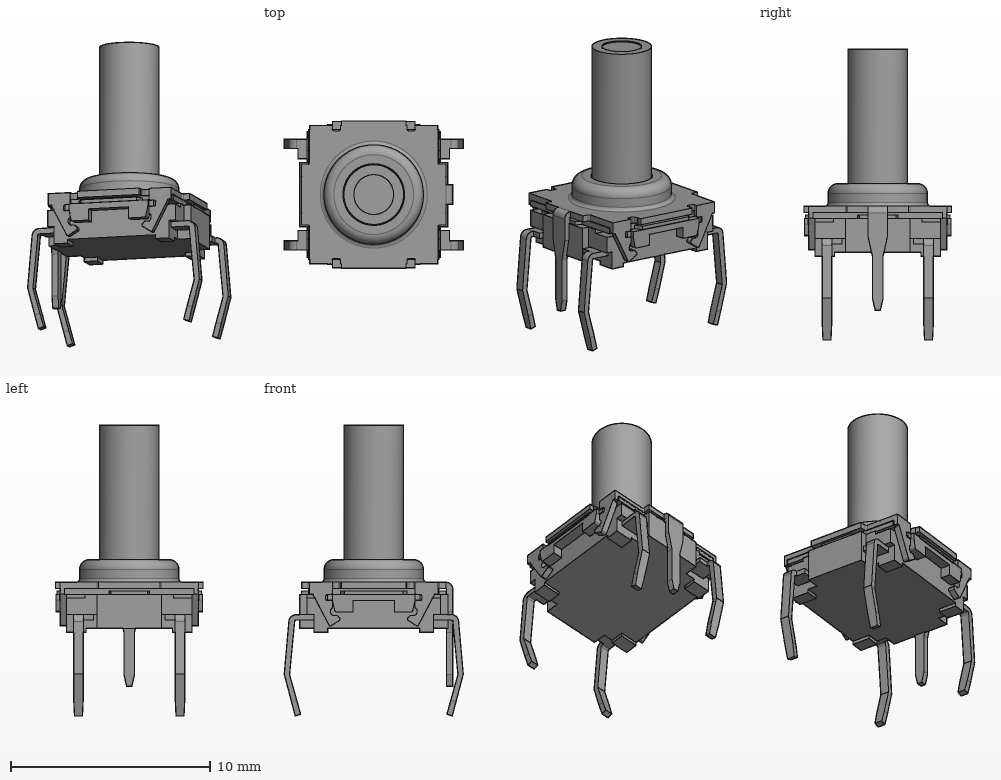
import cadquery as cq


OVERLAP = 0.15

overall_x = 9.0
overall_y = 7.4
overall_z = 14.6
lead_end = -4.2
plunger_top = lead_end + overall_z

body_bottom = 0.19
body_top = 1.9
ledge_z = 1.71
layer_tab_top = 2.07
cover_top = 2.51
sheet = 0.32
cover_bottom = cover_top - sheet
boss_top = 3.65

core_half_x = 3.01
body_half_y = 3.15
shoulder_half_x = 3.35
wing_half_x = 3.72
wing_half_y = 1.62
ledge_half_x = 2.63
ledge_half_y = 2.22
foot_size_x = 0.7
foot_size_y = 1.0
lug_half_y = 3.68
lug_bottom = 1.02
lug_half_top = 2.07
lug_half_bottom = 1.94
lug_straight_bottom = 1.6
lug_gap_half = 1.05
lug_gap_top = 1.59
lug_corner_radius = 0.09
ear_half_x = 2.32
ear_half_y = 3.5

layer_half_x = 3.27
layer_half_y = 3.25
layer_tab_reach = 3.64
side_tab_root, side_tab_tip = 1.01, 0.9
end_tab_root, end_tab_tip = 1.66, 1.46

cover_half_x = 3.21
cover_half_y = 3.47
cover_wing_half_x = 3.62
cover_wing_half_y = 1.53
tongue_half_x = 1.62
tongue_half_y = overall_y / 2
notch_outer_x = 2.07
notch_inner_x = 1.7
notch_floor_y = 3.2
relief_radius = 0.09

arm_shoulder_z = 1.93
arm_shoulder_x = 3.07
slot_outer_x = 2.41
slot_bottom = 1.59
slot_corner = 0.09
hook_heel = (2.25, 0.36)
hook_heel_middle = (2.2, 0.32)
hook_base = (2.13, 0.34)
hook_toe = (1.74, 0.58)
hook_toe_middle = (1.7, 0.67)
hook_nose = (1.72, 0.73)
hook_top_z = 0.85
hook_top_inner_x = 1.84
hook_top_outer_x = 2.05
hook_relief_middle = (2.18, 1.02)
hook_relief_top = 1.23

boss_diameter = 5.0
boss_edge_radius = 0.5
boss_root_radius = 0.19
boss_hole_diameter = 3.1
plunger_diameter = 3.0
dimple_diameter = 2.0
dimple_depth = 0.06

lead_top = 0.89
lead_thickness = 0.28
lead_bottom = lead_top - lead_thickness
pad_half_x = 3.81
pad_inner_y = 1.8
lead_width = 0.48
lead_outer_y = 2.79
lead_tip_width = 0.41
lead_taper_z = -3.46
lead_knee_half_x = overall_x / 2
lead_knee_z = -2.1
bend_half_x = 4.23
knee_drop = 0.03
lead_tip_half_x = 3.94
lead_tip_rise = 0.09
lead_outer_radius = 0.38
lead_inner_radius = 0.09

pin_outer_x = 3.97
pin_bend_radius = pin_outer_x - cover_wing_half_x
pin_root_half_y = 0.5
pin_width = 0.54
pin_tip_half_y = 0.13
pin_shoulder_z = 1.04
pin_taper_z = -2.13
pin_end = -2.72


def block(half_x, half_y, z_low, z_high):
    """Box centred on the Z axis between two heights."""
    height = z_high - z_low
    return cq.Workplane("XY", origin=(0, 0, z_low)).rect(2 * half_x, 2 * half_y).extrude(height)


def box_between(x_range, y_range, z_range):
    """Box given by its lower and upper limits on each axis."""
    sizes = [high - low for low, high in (x_range, y_range, z_range)]
    corner = (x_range[0], y_range[0], z_range[0])
    return cq.Workplane("XY").box(*sizes, centered=False).translate(corner)


def prism_along_y(points, y_low, y_high):
    """Extrude an XZ outline between two Y positions."""
    plane = cq.Workplane("XZ", origin=(0, y_high, 0))
    return plane.polyline(points).close().extrude(y_high - y_low)


def four_ways(quarter):
    """Repeat a piece in all four quadrants."""
    half = quarter.union(quarter.mirror("YZ"))
    return half.union(half.mirror("XZ"))


def make_lugs():
    """Latch lugs across the -Y and +Y faces, each with a bottom gap and side ears."""
    outline = [
        (-lug_half_top, body_top),
        (lug_half_top, body_top),
        (lug_half_top, lug_straight_bottom),
        (lug_half_bottom, lug_bottom),
        (-lug_half_bottom, lug_bottom),
        (-lug_half_top, lug_straight_bottom),
    ]
    lugs = prism_along_y(outline, -lug_half_y, lug_half_y)
    for side in (-1, 1):
        corner = (side * lug_half_bottom, 0, lug_bottom)
        lugs = lugs.edges(cq.selectors.NearestToPointSelector(corner)).fillet(lug_corner_radius)
    lugs = lugs.cut(block(lug_gap_half, lug_half_y, lug_bottom, lug_gap_top))
    return lugs.union(block(ear_half_x, ear_half_y, lug_straight_bottom, body_top))


def make_body():
    body = block(core_half_x, body_half_y, body_bottom, body_top)
    body = body.union(block(shoulder_half_x, body_half_y, lead_top, body_top))
    ledge = box_between(
        (ledge_half_x, shoulder_half_x),
        (ledge_half_y, body_half_y),
        (ledge_z, body_top),
    )
    body = body.cut(four_ways(ledge))
    body = body.union(block(wing_half_x, wing_half_y, body_bottom, body_top))
    foot = box_between(
        (core_half_x - foot_size_x, core_half_x),
        (body_half_y - foot_size_y, body_half_y),
        (0, body_bottom),
    )
    return body.union(four_ways(foot)).union(make_lugs())


def make_layer():
    """Thin layer with one tapered tab on each of its four sides."""
    layer = block(layer_half_x, layer_half_y, body_top, cover_bottom)
    side_tabs = [
        (layer_tab_reach, side_tab_tip),
        (layer_half_x, side_tab_root),
        (-layer_half_x, side_tab_root),
        (-layer_tab_reach, side_tab_tip),
        (-layer_tab_reach, -side_tab_tip),
        (-layer_half_x, -side_tab_root),
        (layer_half_x, -side_tab_root),
        (layer_tab_reach, -side_tab_tip),
    ]
    end_tabs = [
        (end_tab_tip, layer_tab_reach),
        (end_tab_root, layer_half_y),
        (end_tab_root, -layer_half_y),
        (end_tab_tip, -layer_tab_reach),
        (-end_tab_tip, -layer_tab_reach),
        (-end_tab_root, -layer_half_y),
        (-end_tab_root, layer_half_y),
        (-end_tab_tip, layer_tab_reach),
    ]
    for outline in (side_tabs, end_tabs):
        tabs = cq.Workplane("XY", origin=(0, 0, body_top)).polyline(outline).close()
        layer = layer.union(tabs.extrude(layer_tab_top - body_top))
    return layer


def make_cover_plate():
    plate = block(cover_half_x, cover_half_y, cover_bottom, cover_top)
    plate = plate.union(block(cover_wing_half_x, cover_wing_half_y, cover_bottom, cover_top))
    for x in (-cover_half_x, cover_half_x):
        for y in (-cover_wing_half_y, cover_wing_half_y):
            corner = cq.selectors.NearestToPointSelector((x, y, cover_top - sheet / 2))
            plate = plate.edges(corner).fillet(relief_radius)
    plate = plate.union(block(tongue_half_x, tongue_half_y, cover_bottom, cover_top))

    notch = (
        cq.Workplane("XY", origin=(0, 0, cover_bottom))
        .moveTo(tongue_half_x, tongue_half_y)
        .lineTo(notch_inner_x, notch_floor_y)
        .lineTo(notch_outer_x, notch_floor_y)
        .lineTo(notch_outer_x, tongue_half_y)
        .close()
        .extrude(sheet)
    )
    notch = notch.edges("|Z").edges("<Y").fillet(relief_radius)
    return plate.cut(four_ways(notch))


def make_arms():
    """Hooked arms bent down from the cover on the -Y and +Y faces."""
    arm = (
        cq.Workplane("XZ", origin=(0, cover_half_y, 0))
        .moveTo(cover_half_x, cover_top)
        .lineTo(cover_half_x, arm_shoulder_z)
        .lineTo(arm_shoulder_x, arm_shoulder_z)
        .lineTo(*hook_heel)
        .threePointArc(hook_heel_middle, hook_base)
        .lineTo(*hook_toe)
        .threePointArc(hook_toe_middle, hook_nose)
        .lineTo(hook_top_inner_x, hook_top_z)
        .lineTo(hook_top_outer_x, hook_top_z)
        .threePointArc(hook_relief_middle, (notch_outer_x, hook_relief_top))
        .lineTo(notch_outer_x, slot_bottom)
        .lineTo(slot_outer_x - slot_corner, slot_bottom)
        .radiusArc((slot_outer_x, slot_bottom + slot_corner), -slot_corner)
        .lineTo(slot_outer_x, body_top - slot_corner)
        .radiusArc((slot_outer_x - slot_corner, body_top), -slot_corner)
        .lineTo(notch_outer_x + slot_corner, body_top)
        .radiusArc((notch_outer_x, body_top + slot_corner), slot_corner)
        .lineTo(notch_outer_x, cover_top)
        .close()
        .extrude(cover_half_y - body_half_y)
    )
    return four_ways(arm)


def make_boss():
    """Rounded collar with a root fillet onto the cover and a hole for the plunger."""
    radius = boss_diameter / 2
    root_corner = (radius + boss_root_radius, cover_top)
    diagonal = 1 - 0.5 ** 0.5
    root_middle = (radius + diagonal * boss_root_radius, cover_top + diagonal * boss_root_radius)
    edge_middle = (radius - diagonal * boss_edge_radius, boss_top - diagonal * boss_edge_radius)
    return (
        cq.Workplane("XZ")
        .moveTo(boss_hole_diameter / 2, cover_top - OVERLAP)
        .lineTo(root_corner[0], cover_top - OVERLAP)
        .lineTo(*root_corner)
        .threePointArc(root_middle, (radius, cover_top + boss_root_radius))
        .lineTo(radius, boss_top - boss_edge_radius)
        .threePointArc(edge_middle, (radius - boss_edge_radius, boss_top))
        .lineTo(boss_hole_diameter / 2, boss_top)
        .close()
        .revolve(360, (0, 0, 0), (0, 1, 0))
    )


def make_plunger():
    base = cq.Workplane("XY", origin=(0, 0, cover_top - OVERLAP))
    plunger = base.circle(plunger_diameter / 2).extrude(plunger_top - cover_top + OVERLAP)
    return plunger.faces(">Z").workplane().hole(dimple_diameter, dimple_depth)


def make_leads():
    """Four flat pads, each with a bent leg that tapers at its tip."""
    bend_outer = (bend_half_x, lead_top)
    bend_inner = (bend_half_x - lead_thickness, lead_bottom)
    side_outline = [
        (core_half_x - OVERLAP, lead_top),
        bend_outer,
        (lead_knee_half_x, lead_knee_z),
        (lead_tip_half_x, lead_end),
        (lead_tip_half_x - lead_thickness, lead_end + lead_tip_rise),
        (lead_knee_half_x - lead_thickness, lead_knee_z - knee_drop),
        bend_inner,
        (core_half_x - OVERLAP, lead_bottom),
    ]
    lead_inner_y = lead_outer_y - lead_width
    leg = prism_along_y(side_outline, lead_inner_y, lead_outer_y)
    for (x, z), radius in ((bend_outer, lead_outer_radius), (bend_inner, lead_inner_radius)):
        middle = (x, lead_outer_y - lead_width / 2, z)
        leg = leg.edges(cq.selectors.NearestToPointSelector(middle)).fillet(radius)

    taper = (lead_width - lead_tip_width) / 2
    width_outline = [
        (lead_inner_y, lead_top),
        (lead_outer_y, lead_top),
        (lead_outer_y, lead_taper_z),
        (lead_outer_y - taper, lead_end),
        (lead_inner_y + taper, lead_end),
        (lead_inner_y, lead_taper_z),
    ]
    envelope = cq.Workplane("YZ").polyline(width_outline).close().extrude(lead_knee_half_x)
    pad = box_between(
        (core_half_x - OVERLAP, pad_half_x),
        (pad_inner_y, lead_outer_y),
        (lead_bottom, lead_top),
    )
    return four_ways(leg.intersect(envelope).union(pad))


def make_ground_pin():
    """Pin bent down from the +X wing of the cover, narrowing to a pointed tip."""
    half_outline = [
        (pin_root_half_y, cover_top),
        (pin_root_half_y, pin_shoulder_z),
        (pin_width / 2, 0),
        (pin_width / 2, pin_taper_z),
        (pin_tip_half_y, pin_end),
    ]
    outline = half_outline + [(-y, z) for y, z in reversed(half_outline)]
    plane = cq.Workplane("YZ", origin=(pin_outer_x - sheet, 0, 0))
    pin = plane.polyline(outline).close().extrude(sheet)
    bridge = box_between(
        (cover_half_x, pin_outer_x),
        (-pin_root_half_y, pin_root_half_y),
        (cover_bottom, cover_top),
    )
    return pin.union(bridge).edges(">X and >Z").fillet(pin_bend_radius)


result = (
    make_body()
    .union(make_layer())
    .union(make_cover_plate())
    .union(make_arms())
    .union(make_boss())
    .union(make_plunger())
    .union(make_leads())
    .union(make_ground_pin())
)